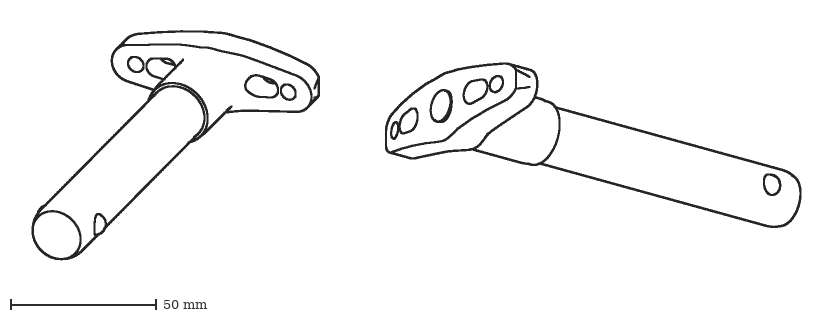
import cadquery as cq
import math


overall_length = 150.1
shank_length = 106.9
shank_radius = 10.0
tip_radius = 9.0
tip_length = 4.2

ball_radius = 3.8
ball_reach = 12.5
ball_from_tip = 13.4

collar_radius = 11.5
collar_lip_radius = 11.3
collar_lip_length = 1.5
collar_taper_top = 3.8
fillet_radius = 5.1

handle_width = 74.7
handle_height = 24.6
side_angle = math.radians(10)
end_radius = 7.0
apex_radius = 12.0

handle_top = overall_length - shank_length
handle_bottom = 31.0
bottom_droop = 1.0
arch_end_x = 35.5
crown_peak_x = 10.5
crown_radius = 78.0
dome_radius = 105.0
dip_half_width = 8.9
dip_floor = handle_top - 0.9
end_draft_start = 31.4
end_draft_angle = math.radians(7)

slot_inner_x = 17.0
slot_inner_radius = 4.0
slot_outer_x = 21.2
slot_outer_radius = 3.5
cord_hole_x = 28.5
cord_hole_radius = 2.9
button_radius = 5.5

half_width = handle_width / 2
end_center_x = half_width - end_radius
handle_end_bottom = handle_bottom - bottom_droop


def along_y(start, end, draw):
    """Extrude the outline drawn on an X-Z plane from Y = start to Y = end."""
    plane = cq.Plane(origin=(0, start, 0), xDir=(1, 0, 0), normal=(0, -1, 0))
    return draw(cq.Workplane(plane)).extrude(start - end)


def handle_outline(sketch):
    """Lozenge with rounded ends and slightly rounded upper and lower apexes."""
    tangent_x = end_center_x + end_radius * math.sin(side_angle)
    tangent_z = end_radius * math.cos(side_angle)
    apex_z = handle_height / 2
    apex_x = apex_radius * math.sin(side_angle)
    shoulder_z = apex_z - apex_radius * (1 - math.cos(side_angle))
    return (
        sketch.moveTo(-apex_x, shoulder_z)
        .threePointArc((0, apex_z), (apex_x, shoulder_z))
        .lineTo(tangent_x, tangent_z)
        .threePointArc((half_width, 0), (tangent_x, -tangent_z))
        .lineTo(apex_x, -shoulder_z)
        .threePointArc((0, -apex_z), (-apex_x, -shoulder_z))
        .lineTo(-tangent_x, -tangent_z)
        .threePointArc((-half_width, 0), (-tangent_x, tangent_z))
        .close()
    )


def crown_y(x):
    """Y level of the crowned back of the handle at a distance x from the pin axis."""
    return handle_top - crown_radius + math.sqrt(crown_radius**2 - (x - crown_peak_x) ** 2)


def make_handle_body():
    """Bar with an arched bottom and drafted ends, left flat on top until the crown trims it."""
    draft_end_x = half_width - (handle_top - end_draft_start) * math.tan(end_draft_angle)
    return (
        cq.Workplane("XY")
        .moveTo(-half_width, handle_end_bottom)
        .lineTo(-arch_end_x, handle_end_bottom)
        .threePointArc((0, handle_bottom), (arch_end_x, handle_end_bottom))
        .lineTo(half_width, handle_end_bottom)
        .lineTo(half_width, end_draft_start)
        .lineTo(draft_end_x, handle_top)
        .lineTo(-draft_end_x, handle_top)
        .lineTo(-half_width, end_draft_start)
        .close()
        .extrude(handle_height, both=True)
    )


def make_crown():
    """Crowned back that dips at the button, turned about an axis along X to dome it."""
    axis_y = handle_top - dome_radius
    middle_x = (half_width + dip_half_width) / 2
    return (
        cq.Workplane("XY")
        .moveTo(-half_width, axis_y)
        .lineTo(half_width, axis_y)
        .lineTo(half_width, crown_y(half_width))
        .threePointArc((middle_x, crown_y(middle_x)), (dip_half_width, crown_y(dip_half_width)))
        .threePointArc((0, dip_floor), (-dip_half_width, crown_y(dip_half_width)))
        .threePointArc((-middle_x, crown_y(middle_x)), (-half_width, crown_y(half_width)))
        .close()
        .revolve(360, (0, axis_y, 0), (1, axis_y, 0))
    )


def make_necked_bar():
    """Handle body joined to the collar by a concave fillet."""
    collar = along_y(collar_taper_top, handle_bottom, lambda s: s.circle(collar_radius))
    joint = cq.selectors.BoxSelector(
        (-half_width / 2, handle_end_bottom, -handle_height),
        (half_width / 2, handle_bottom, handle_height),
    )
    return make_handle_body().union(collar).edges(joint).fillet(fillet_radius)


def make_openings():
    """Tapered slot and cord hole through each wing of the handle."""
    taper = math.asin((slot_inner_radius - slot_outer_radius) / (slot_outer_x - slot_inner_x))
    cos_taper = math.cos(taper)
    sin_taper = math.sin(taper)

    def slot(sketch, side):
        inner_x = side * (slot_inner_x + slot_inner_radius * sin_taper)
        inner_z = slot_inner_radius * cos_taper
        outer_x = side * (slot_outer_x + slot_outer_radius * sin_taper)
        outer_z = slot_outer_radius * cos_taper
        return (
            sketch.moveTo(inner_x, inner_z)
            .lineTo(outer_x, outer_z)
            .threePointArc((side * (slot_outer_x + slot_outer_radius), 0), (outer_x, -outer_z))
            .lineTo(inner_x, -inner_z)
            .threePointArc((side * (slot_inner_x - slot_inner_radius), 0), (inner_x, inner_z))
            .close()
        )

    def cord_holes(sketch):
        return sketch.pushPoints([(-cord_hole_x, 0), (cord_hole_x, 0)]).circle(cord_hole_radius)

    opening_start = handle_bottom - fillet_radius
    openings = along_y(opening_start, handle_top, cord_holes)
    for side in (-1, 1):
        openings = openings.union(along_y(opening_start, handle_top, lambda s: slot(s, side)))
    return openings


def make_handle():
    """Handle and collar, trimmed to the outline and crown and pierced by the openings."""
    outline = along_y(collar_taper_top, handle_top, handle_outline)
    handle = make_necked_bar().intersect(outline).intersect(make_crown()).cut(make_openings())
    button = along_y(handle_bottom, handle_top, lambda s: s.circle(button_radius))
    return handle.union(button)


def make_pin():
    """Shank with a rounded tip, and the tapered lip of the collar, turned about Y."""
    tip_y = -shank_length
    tip_drop = shank_radius - tip_radius
    tip_round = (tip_length**2 + tip_drop**2) / (2 * tip_drop)
    middle_drop = tip_round - math.sqrt(tip_round**2 - (tip_length / 2) ** 2)
    return (
        cq.Workplane("XY")
        .moveTo(0, tip_y)
        .lineTo(tip_radius, tip_y)
        .threePointArc(
            (shank_radius - middle_drop, tip_y + tip_length / 2),
            (shank_radius, tip_y + tip_length),
        )
        .lineTo(shank_radius, 0)
        .lineTo(collar_lip_radius, 0)
        .lineTo(collar_lip_radius, collar_lip_length)
        .lineTo(collar_radius, collar_taper_top)
        .lineTo(0, collar_taper_top)
        .close()
        .revolve(360, (0, 0, 0), (0, 1, 0))
    )


def make_balls():
    """Two locking balls standing proud of the shank near its tip."""
    center_x = ball_reach - ball_radius
    center_y = ball_from_tip - shank_length
    centers = [(-center_x, center_y), (center_x, center_y)]
    return cq.Workplane("XY").pushPoints(centers).sphere(ball_radius)


result = make_pin().union(make_handle()).union(make_balls())